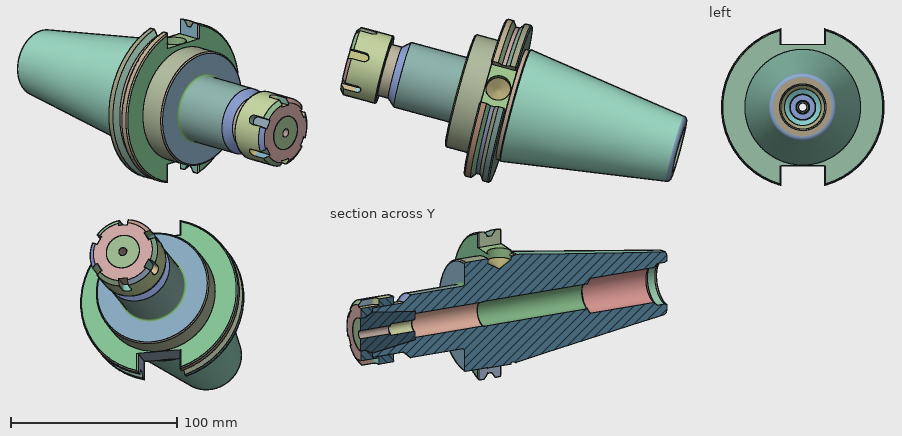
import cadquery as cq
import math


taper_length = 101.7
gauge_diameter = 69.7
gauge_radius = gauge_diameter / 2
taper_ratio = 7 / 24
small_radius = gauge_radius - taper_length * taper_ratio / 2
small_end_round = 2.7
relief_depth = 0.6

flange_start = 104.8
flange_width = 15.9
flange_end = flange_start + flange_width
flange_mid = flange_start + flange_width / 2
flange_diameter = 98.0
flange_radius = flange_diameter / 2
flange_chamfer = 0.8
vee_depth = 3.3
vee_floor_width = 2.5
vee_opening_width = 7.5

slot_width = 26.0
upper_slot_floor = 37.7
lower_slot_floor = 35.3
slot_edge_chamfer = 0.8
dimple_diameter = 15.0
dimple_depth = 6.0
drill_half_angle = math.radians(59)

collar_end = 136.3
collar_diameter = 70.1
collar_radius = collar_diameter / 2
collar_chamfer = 0.8
body_diameter = 40.5
body_radius = body_diameter / 2
body_root_round = 1.2
body_chamfer_start = 172.5
neck_start = 177.2
neck_diameter = 32.0
neck_radius = neck_diameter / 2

mouth_diameter = 28.0
counterbore_diameter = 26.5
mouth_chamfer_depth = 1.6
counterbore_depth = 6.5
thread_bore_diameter = 22.0
thread_bore_depth = 51.5
drill_bore_diameter = 15.7
drill_bore_depth = 123.8
through_bore_diameter = 15.0

overall_length = 206.2
nut_start = 183.5
nut_end = 206.0
nut_diameter = 42.0
nut_radius = nut_diameter / 2
nut_rear_chamfer = 0.6
nut_front_chamfer_length = 2.3
nut_front_chamfer_depth = 2.7
thread_end = 198.0
nut_opening_diameter = 20.6
nut_cone_half_angle = math.radians(30)
wrench_slot_count = 6
wrench_slot_width = 5.5
wrench_slot_start = 193.7
wrench_slot_floor = 17.0

collet_large_diameter = 26.0
collet_rear_diameter = 18.0
collet_half_angle = math.radians(8)
collet_bore_diameter = 5.0
collet_rear_bore_diameter = 7.0
collet_rear_bore_depth = 16.5
collet_mouth_chamfer = 0.6
collet_taper_length = (collet_large_diameter - collet_rear_diameter) / 2 / math.tan(collet_half_angle)
collet_start = thread_end - collet_taper_length
collet_nose_start = thread_end + (
    (collet_large_diameter - nut_opening_diameter) / 2 / math.tan(nut_cone_half_angle)
)


def turned(points):
    """Solid of revolution about X from a closed (x, radius) outline."""
    return cq.Workplane("XY").polyline(points).close().revolve(360, (0, 0, 0), (1, 0, 0))


def edges_at(x, radius):
    """Selector for the circular edges at one place along the axis, up to a given radius."""
    margin = 0.05
    reach = radius + margin
    return cq.selectors.BoxSelector(
        (x - margin, -reach, -reach), (x + margin, reach, reach), boundingbox=True
    )


def holder_outside():
    relief_radius = gauge_radius - relief_depth
    blank = turned([
        (0, 0),
        (0, small_radius),
        (taper_length, gauge_radius),
        (taper_length + relief_depth, relief_radius),
        (flange_start, relief_radius),
        (flange_start, flange_radius - flange_chamfer),
        (flange_start + flange_chamfer, flange_radius),
        (flange_mid - vee_opening_width / 2, flange_radius),
        (flange_mid - vee_floor_width / 2, flange_radius - vee_depth),
        (flange_mid + vee_floor_width / 2, flange_radius - vee_depth),
        (flange_mid + vee_opening_width / 2, flange_radius),
        (flange_end - flange_chamfer, flange_radius),
        (flange_end, flange_radius - flange_chamfer),
        (flange_end, collar_radius),
        (collar_end - collar_chamfer, collar_radius),
        (collar_end, collar_radius - collar_chamfer),
        (collar_end, body_radius),
        (body_chamfer_start, body_radius),
        (neck_start, neck_radius),
        (thread_end, neck_radius),
        (thread_end, 0),
    ])
    blank = blank.edges(edges_at(0, small_radius)).fillet(small_end_round)
    blank = blank.edges(edges_at(collar_end, body_radius)).fillet(body_root_round)
    return blank


def holder_bore():
    """Rear thread bore, through bore and tapered collet seat as one cutter."""
    counterbore_cone = (counterbore_diameter - thread_bore_diameter) / 2
    drill_cone = (thread_bore_diameter - drill_bore_diameter) / 2 / math.tan(drill_half_angle)
    return turned([
        (0, 0),
        (0, mouth_diameter / 2),
        (mouth_chamfer_depth, counterbore_diameter / 2),
        (counterbore_depth, counterbore_diameter / 2),
        (counterbore_depth + counterbore_cone, thread_bore_diameter / 2),
        (thread_bore_depth, thread_bore_diameter / 2),
        (thread_bore_depth + drill_cone, drill_bore_diameter / 2),
        (drill_bore_depth, drill_bore_diameter / 2),
        (drill_bore_depth, through_bore_diameter / 2),
        (collet_start, through_bore_diameter / 2),
        (collet_start, collet_rear_diameter / 2),
        (thread_end, collet_large_diameter / 2),
        (thread_end, 0),
    ])


def drive_slot(floor_height):
    """Cutter for a slot open towards +Z, with chamfers where its walls meet the flange faces."""
    half = slot_width / 2
    flared = half + slot_edge_chamfer
    return (
        cq.Workplane("XY", origin=(0, 0, floor_height))
        .polyline([
            (flange_start, -flared),
            (flange_start + slot_edge_chamfer, -half),
            (flange_end - slot_edge_chamfer, -half),
            (flange_end, -flared),
            (flange_end, flared),
            (flange_end - slot_edge_chamfer, half),
            (flange_start + slot_edge_chamfer, half),
            (flange_start, flared),
        ])
        .close()
        .extrude(flange_radius)
    )


def drilled_dimple():
    """Cutter for the flat-walled hole with a drill point in the upper slot floor."""
    radius = dimple_diameter / 2
    point_depth = radius / math.tan(drill_half_angle)
    return (
        cq.Workplane("XZ")
        .polyline([
            (0, upper_slot_floor),
            (radius, upper_slot_floor),
            (radius, upper_slot_floor - dimple_depth),
            (0, upper_slot_floor - dimple_depth - point_depth),
        ])
        .close()
        .revolve(360, (0, 0, 0), (0, 1, 0))
        .translate((flange_mid, 0, 0))
    )


def make_holder():
    lower_slot = drive_slot(lower_slot_floor).rotate((0, 0, 0), (1, 0, 0), 180)
    return (
        holder_outside()
        .cut(holder_bore())
        .cut(drive_slot(upper_slot_floor))
        .cut(lower_slot)
        .cut(drilled_dimple())
    )


def wrench_slot(angle):
    """Cutter for one flat-floored slot with a round closed end, open at the nut face."""
    end_radius = wrench_slot_width / 2
    end_centre = wrench_slot_start + end_radius
    return (
        cq.Workplane("XY", origin=(0, 0, wrench_slot_floor))
        .moveTo(nut_end, -end_radius)
        .lineTo(end_centre, -end_radius)
        .threePointArc((wrench_slot_start, 0), (end_centre, end_radius))
        .lineTo(nut_end, end_radius)
        .close()
        .extrude(nut_radius)
        .rotate((0, 0, 0), (1, 0, 0), angle)
    )


def make_nut():
    nut = turned([
        (nut_start, neck_radius),
        (nut_start, nut_radius - nut_rear_chamfer),
        (nut_start + nut_rear_chamfer, nut_radius),
        (nut_end - nut_front_chamfer_length, nut_radius),
        (nut_end, nut_radius - nut_front_chamfer_depth),
        (nut_end, nut_opening_diameter / 2),
        (collet_nose_start, nut_opening_diameter / 2),
        (thread_end, collet_large_diameter / 2),
        (thread_end, neck_radius),
    ])
    for index in range(wrench_slot_count):
        nut = nut.cut(wrench_slot(index * 360 / wrench_slot_count))
    return nut


def make_collet():
    rear_bore_end = collet_start + collet_rear_bore_depth
    return turned([
        (collet_start + collet_mouth_chamfer, collet_rear_bore_diameter / 2),
        (collet_start, collet_rear_bore_diameter / 2 + collet_mouth_chamfer),
        (collet_start, collet_rear_diameter / 2),
        (thread_end, collet_large_diameter / 2),
        (collet_nose_start, nut_opening_diameter / 2),
        (overall_length, nut_opening_diameter / 2),
        (overall_length, collet_bore_diameter / 2),
        (rear_bore_end, collet_bore_diameter / 2),
        (rear_bore_end, collet_rear_bore_diameter / 2),
    ])


holder = make_holder()
nut = make_nut()
collet = make_collet()

result = cq.Compound.makeCompound([holder.val(), nut.val(), collet.val()])